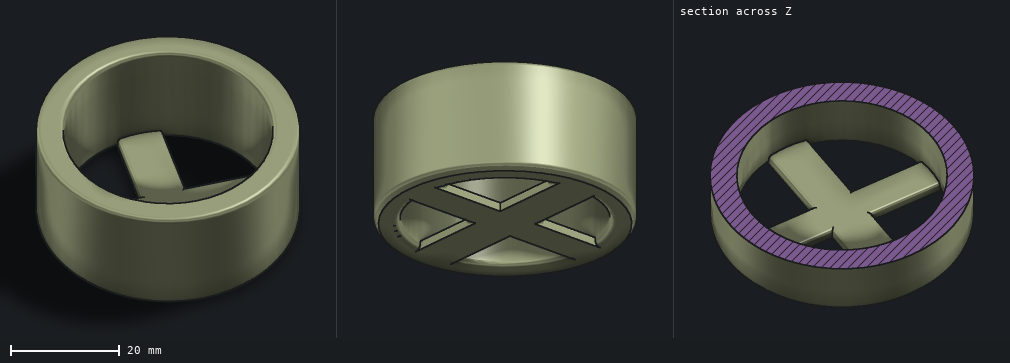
import cadquery as cq

outer_diameter = 48.5
bore_diameter = 38.5
height = 22.0
rim_radius = 1.0
bore_mouth_radius = 1.25
bottom_chamfer = 1.0
bevel_blend = 1.0

bar_height = 2.0
x_bar_width = 8.5
y_bar_width = 7.0
bar_edge_radius = 0.65

outer_radius = outer_diameter / 2
bore_radius = bore_diameter / 2
wall = outer_radius - bore_radius
bar_length = bore_diameter + wall


def make_ring():
    """Tube with a rounded top rim, a blended outer bevel and a rounded bore mouth."""
    body = cq.Workplane("XY").circle(outer_radius).extrude(height)
    body = body.faces("<Z").chamfer(bottom_chamfer)
    bevel_top_edge = "%CIRCLE and (not >Z) and (not <Z)"
    body = body.edges(bevel_top_edge).fillet(bevel_blend)
    bore = cq.Workplane("XY").circle(bore_radius).extrude(height)
    body = body.cut(bore)
    body = body.faces(">Z").edges().fillet(rim_radius)
    bore_mouth = cq.selectors.RadiusNthSelector(0)
    return body.faces("<Z").edges(bore_mouth).fillet(bore_mouth_radius)


def make_cross():
    """Two crossing bars with rounded upper long edges."""
    x_bar = cq.Workplane("XY").box(bar_length, x_bar_width, bar_height, centered=(True, True, False))
    y_bar = cq.Workplane("XY").box(y_bar_width, bar_length, bar_height, centered=(True, True, False))
    x_bar = x_bar.faces(">Z").edges("|X").fillet(bar_edge_radius)
    y_bar = y_bar.faces(">Z").edges("|Y").fillet(bar_edge_radius)
    return x_bar.union(y_bar)


result = make_ring().union(make_cross())